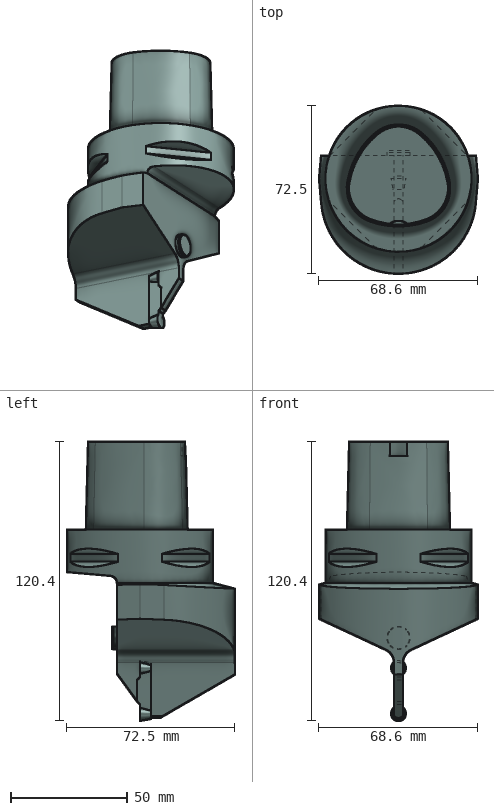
import cadquery as cq
import math


SHANK_LENGTH = 38.0
SHANK_TAPER = math.degrees(math.atan(1 / 40))
SHANK_APEX_RADIUS = 23.4
SHANK_FLAT_RADIUS = 20.6
NOSE_CENTRE_RADIUS = 8.2
NOTCH_RADIUS = 5.5
NOTCH_DEPTH = 6.3
NOTCH_FLOOR_Y = -18.1

FLANGE_RADIUS = 63.0 / 2
FLANGE_HEIGHT = 22.9
SLOT_FLOOR_RADIUS = 27.95
SLOT_FLOOR_HEIGHT = 3.3
SLOT_CENTRE_Z = -12.1
SLOT_FLARE = 33.0

FRONT_FACE_Y = 10.0
RELIEF_RIM_Z = -18.3
RELIEF_SLOPE = 5.0
RELIEF_FILLET = 3.0

HEAD_BACK_Y = -40.99
HEAD_BACK_RADIUS = 33.5
HEAD_SIDE_FLARE = 5.0
HEAD_TOP_SLOPE = 15.0
WEDGE_START_Z = -38.35
WEDGE_SLOPE = 25.0
WEDGE_FILLET = 6.0

BLADE_HALF_WIDTH = 2.0
BLADE_BOTTOM_Z = -81.1
BLADE_BOTTOM_RADIUS = 3.0
BLADE_BACK_CORNER_Z = -62.4
BLADE_BACK_SLOPE = 30.0
BLADE_FRONT_CORNER_Z = -62.0

INSERT_BOTTOM_Z = -82.4
INSERT_LENGTH = 26.0
INSERT_THICKNESS = 4.65
TIP_RADIUS = 3.175
TIP_CLEARANCE = 10.0
RIB_HEIGHT = 1.2
RIB_HALF_LENGTH = 4.7

PLUG_RADIUS = 10.0 / 2
PLUG_HEIGHT = 2.1
PLUG_Z = -46.6
PLUG_CHAMFER_HEIGHT = 0.75
PLUG_CHAMFER_WIDTH = 0.3

INSERT_MIDDLE_Z = INSERT_BOTTOM_Z + INSERT_LENGTH / 2
TIP_OFFSET = INSERT_LENGTH / 2 - TIP_RADIUS
HEAD_CENTRE_Y = HEAD_BACK_Y + HEAD_BACK_RADIUS
FLARE_TAN = math.tan(math.radians(HEAD_SIDE_FLARE))
HEAD_TANGENT_X = HEAD_BACK_RADIUS * math.cos(math.radians(HEAD_SIDE_FLARE))
HEAD_TANGENT_Y = HEAD_CENTRE_Y - HEAD_BACK_RADIUS * math.sin(math.radians(HEAD_SIDE_FLARE))
HEAD_HALF_WIDTH = HEAD_TANGENT_X - HEAD_TANGENT_Y * FLARE_TAN
MARGIN = 20.0


def polar(radius, degrees):
    angle = math.radians(degrees)
    return (radius * math.cos(angle), radius * math.sin(angle))


def make_shank():
    nose_radius = SHANK_APEX_RADIUS - NOSE_CENTRE_RADIUS
    reach = SHANK_FLAT_RADIUS - nose_radius
    flat_offset = (NOSE_CENTRE_RADIUS**2 - reach**2) / (2 * reach - NOSE_CENTRE_RADIUS)
    flat_radius = SHANK_FLAT_RADIUS + flat_offset
    centre_dx = NOSE_CENTRE_RADIUS * math.sin(math.radians(60))
    tangent_x = centre_dx * flat_radius / (flat_radius - nose_radius)
    tangent_y = flat_offset - math.sqrt(flat_radius**2 - tangent_x**2)
    tangent_radius = math.hypot(tangent_x, tangent_y)
    half_angle = math.degrees(math.atan2(tangent_x, -tangent_y))

    outline = cq.Workplane("XY").moveTo(*polar(tangent_radius, -90 - half_angle))
    for flat_direction in (-90, 30, 150):
        outline = outline.threePointArc(
            polar(SHANK_FLAT_RADIUS, flat_direction),
            polar(tangent_radius, flat_direction + half_angle),
        )
        outline = outline.threePointArc(
            polar(SHANK_APEX_RADIUS, flat_direction + 60),
            polar(tangent_radius, flat_direction + 120 - half_angle),
        )
    shank = outline.close().extrude(SHANK_LENGTH, taper=SHANK_TAPER)
    notch = (
        cq.Workplane("XY", origin=(0, NOTCH_FLOOR_Y - NOTCH_RADIUS, SHANK_LENGTH - NOTCH_DEPTH))
        .circle(NOTCH_RADIUS)
        .extrude(NOTCH_DEPTH)
    )
    return shank.cut(notch)


def make_gripper_slot(direction):
    outer = FLANGE_RADIUS + 1
    floor_half = SLOT_FLOOR_HEIGHT / 2
    mouth_half = floor_half + (outer - SLOT_FLOOR_RADIUS) * math.tan(math.radians(SLOT_FLARE))
    return (
        cq.Workplane("XZ")
        .polyline([
            (SLOT_FLOOR_RADIUS, SLOT_CENTRE_Z - floor_half),
            (outer, SLOT_CENTRE_Z - mouth_half),
            (outer, SLOT_CENTRE_Z + mouth_half),
            (SLOT_FLOOR_RADIUS, SLOT_CENTRE_Z + floor_half),
        ])
        .close()
        .extrude(FLANGE_RADIUS, both=True)
        .rotate((0, 0, 0), (0, 0, 1), direction)
    )


def make_relief():
    """Space under the +Y side of the flange: sloped underside, filleted into the front face."""
    slope = math.tan(math.radians(RELIEF_SLOPE))
    outer_y = FLANGE_RADIUS + MARGIN
    floor_z = -FLANGE_HEIGHT - MARGIN
    return (
        cq.Workplane("YZ")
        .polyline([
            (FRONT_FACE_Y, floor_z),
            (FRONT_FACE_Y, RELIEF_RIM_Z - (FLANGE_RADIUS - FRONT_FACE_Y) * slope),
            (outer_y, RELIEF_RIM_Z + MARGIN * slope),
            (outer_y, floor_z),
        ])
        .close()
        .extrude(2 * FLANGE_RADIUS, both=True)
        .faces("<Y").edges(">Z")
        .fillet(RELIEF_FILLET)
    )


def make_flange():
    flange = cq.Workplane("XY").circle(FLANGE_RADIUS).extrude(-FLANGE_HEIGHT)
    for direction in (45, 135, 225, 315):
        flange = flange.cut(make_gripper_slot(direction))
    return flange.cut(make_relief())


def head_outline():
    """Plan of the head: a back arc, tangent sides flaring to Y = 0, then narrowing to the front face."""
    front_half_width = HEAD_HALF_WIDTH - FRONT_FACE_Y * FLARE_TAN
    height = -FLANGE_HEIGHT - INSERT_BOTTOM_Z
    return (
        cq.Workplane("XY", origin=(0, 0, INSERT_BOTTOM_Z))
        .moveTo(-front_half_width, FRONT_FACE_Y)
        .lineTo(-HEAD_HALF_WIDTH, 0)
        .lineTo(-HEAD_TANGENT_X, HEAD_TANGENT_Y)
        .threePointArc((0, HEAD_BACK_Y), (HEAD_TANGENT_X, HEAD_TANGENT_Y))
        .lineTo(HEAD_HALF_WIDTH, 0)
        .lineTo(front_half_width, FRONT_FACE_Y)
        .close()
        .extrude(height)
    )


def head_cone():
    """Round envelope whose sloped top falls away from the flange rim."""
    outer = FLANGE_RADIUS + MARGIN
    rim_z = -FLANGE_HEIGHT - MARGIN * math.tan(math.radians(HEAD_TOP_SLOPE))
    return (
        cq.Workplane("XZ")
        .polyline([
            (0, INSERT_BOTTOM_Z),
            (outer, INSERT_BOTTOM_Z),
            (outer, rim_z),
            (FLANGE_RADIUS, -FLANGE_HEIGHT),
            (0, -FLANGE_HEIGHT),
        ])
        .close()
        .revolve(360, (0, 0, 0), (0, 1, 0))
    )


def head_wedge():
    """Wedge narrowing into the blade, with filleted roots and a rounded blade bottom."""
    root_z = WEDGE_START_Z - (HEAD_HALF_WIDTH - BLADE_HALF_WIDTH) * math.tan(math.radians(WEDGE_SLOPE))
    rounding = BLADE_BOTTOM_RADIUS - math.sqrt(BLADE_BOTTOM_RADIUS**2 - BLADE_HALF_WIDTH**2)
    edge_z = BLADE_BOTTOM_Z + rounding
    return (
        cq.Workplane("XZ")
        .moveTo(-HEAD_HALF_WIDTH, 0)
        .lineTo(-HEAD_HALF_WIDTH, WEDGE_START_Z)
        .lineTo(-BLADE_HALF_WIDTH, root_z)
        .lineTo(-BLADE_HALF_WIDTH, edge_z)
        .threePointArc((0, BLADE_BOTTOM_Z), (BLADE_HALF_WIDTH, edge_z))
        .lineTo(BLADE_HALF_WIDTH, root_z)
        .lineTo(HEAD_HALF_WIDTH, WEDGE_START_Z)
        .lineTo(HEAD_HALF_WIDTH, 0)
        .close()
        .extrude(-2 * HEAD_BACK_Y, both=True)
        .edges(cq.selectors.BoxSelector(
            (-BLADE_HALF_WIDTH - 1, HEAD_BACK_Y, root_z - 1),
            (BLADE_HALF_WIDTH + 1, -HEAD_BACK_Y, root_z + 1),
        ))
        .fillet(WEDGE_FILLET)
    )


def blade_profile():
    """Side profile of the head: upper jaw in front of the insert, lower jaw behind it."""
    back_run = (BLADE_BACK_CORNER_Z - BLADE_BOTTOM_Z) / math.tan(math.radians(BLADE_BACK_SLOPE))
    jaw_tip_z = INSERT_MIDDLE_Z - RIB_HALF_LENGTH
    return (
        cq.Workplane("YZ")
        .polyline([
            (FRONT_FACE_Y, 0),
            (FRONT_FACE_Y, BLADE_FRONT_CORNER_Z),
            (RIB_HEIGHT, jaw_tip_z),
            (-INSERT_THICKNESS, jaw_tip_z),
            (-INSERT_THICKNESS, BLADE_BOTTOM_Z),
            (HEAD_BACK_Y + back_run, BLADE_BOTTOM_Z),
            (HEAD_BACK_Y, BLADE_BACK_CORNER_Z),
            (HEAD_BACK_Y, 0),
        ])
        .close()
        .extrude(HEAD_HALF_WIDTH, both=True)
    )


def make_plug():
    tip_y = FRONT_FACE_Y + PLUG_HEIGHT
    return (
        cq.Workplane("YZ")
        .polyline([
            (0, PLUG_Z),
            (0, PLUG_Z + PLUG_RADIUS),
            (tip_y - PLUG_CHAMFER_HEIGHT, PLUG_Z + PLUG_RADIUS),
            (tip_y, PLUG_Z + PLUG_RADIUS - PLUG_CHAMFER_WIDTH),
            (tip_y, PLUG_Z),
        ])
        .close()
        .revolve(360, (0, PLUG_Z), (1, PLUG_Z))
    )


def make_insert():
    """Flat bar flush with the blade, a raised rib on its face and a tapered round tip at each end."""
    rib_base_half = RIB_HALF_LENGTH + RIB_HEIGHT
    insert = (
        cq.Workplane("YZ", origin=(0, 0, INSERT_MIDDLE_Z))
        .polyline([
            (-INSERT_THICKNESS, -TIP_OFFSET),
            (0, -TIP_OFFSET),
            (0, -rib_base_half),
            (RIB_HEIGHT, -RIB_HALF_LENGTH),
            (RIB_HEIGHT, RIB_HALF_LENGTH),
            (0, rib_base_half),
            (0, TIP_OFFSET),
            (-INSERT_THICKNESS, TIP_OFFSET),
        ])
        .close()
        .extrude(BLADE_HALF_WIDTH, both=True)
    )
    for end in (-1, 1):
        tip = (
            cq.Workplane("XZ", origin=(0, 0, INSERT_MIDDLE_Z + end * TIP_OFFSET))
            .circle(TIP_RADIUS)
            .extrude(INSERT_THICKNESS, taper=TIP_CLEARANCE)
        )
        insert = insert.union(tip)
    return insert


def make_holder(insert):
    head = head_outline().intersect(head_cone()).intersect(head_wedge()).intersect(blade_profile())
    holder = make_flange().union(make_shank()).union(head).union(make_plug())
    return holder.cut(insert)


insert = make_insert()
holder = make_holder(insert)

result = cq.Compound.makeCompound([holder.val(), insert.val()])